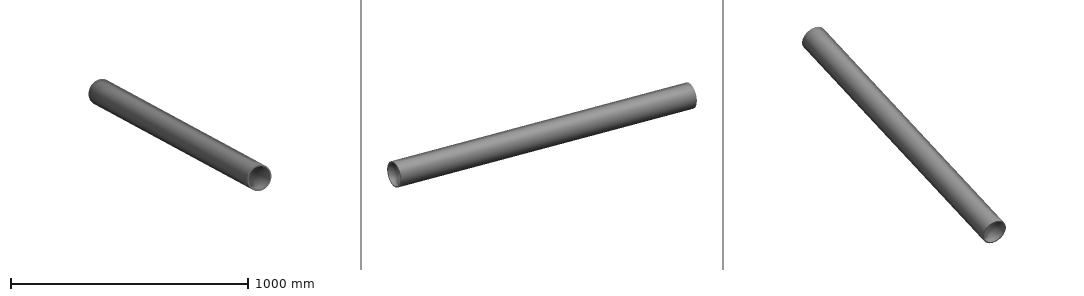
import cadquery as cq

length = 1450.0
outer_diameter = 115.0
wall = 6.2
inner_diameter = outer_diameter - 2 * wall

result = (
    cq.Workplane("YZ", origin=(-length / 2, 0, 0))
    .circle(outer_diameter / 2)
    .circle(inner_diameter / 2)
    .extrude(length)
)